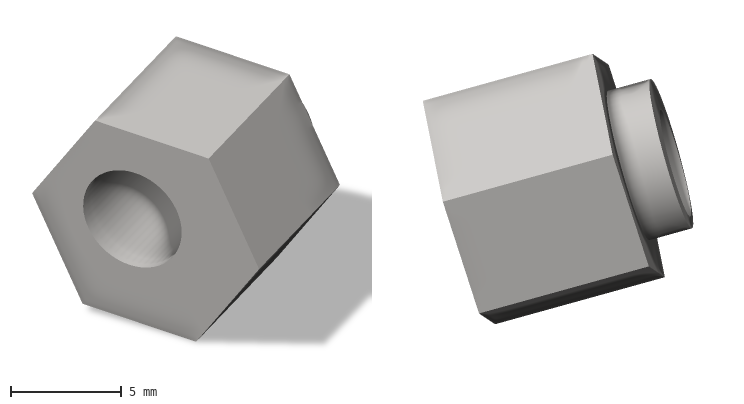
import cadquery as cq
import math

overall_width = 11.52
overall_length = 10.0
boss_length = 2.0
boss_diameter = 7.0
hole_diameter = 5.0
hole_offset_x = -0.67
hole_offset_z = 0.46
hexagon_tilt = 3.65

body_length = overall_length - boss_length
corner_diameter = overall_width / math.cos(math.radians(hexagon_tilt))


def section_plane(y):
    """Plane facing +Y whose local axes are global +Z and +X."""
    return cq.Workplane(cq.Plane(origin=(0, y, 0), xDir=(0, 0, 1), normal=(0, 1, 0)))


def make_body():
    """Hexagonal prism with its front face at Y = 0."""
    prism = cq.Workplane("XY").polygon(6, corner_diameter).extrude(body_length)
    lying = prism.rotate((0, 0, 0), (1, 0, 0), -90)
    return lying.rotate((0, 0, 0), (0, 1, 0), hexagon_tilt)


def make_boss():
    """Round boss on the rear face, concentric with the hexagon."""
    return section_plane(body_length).circle(boss_diameter / 2).extrude(boss_length)


def make_hole():
    """Eccentric through hole."""
    plane = section_plane(0).center(hole_offset_z, hole_offset_x)
    return plane.circle(hole_diameter / 2).extrude(overall_length)


result = make_body().union(make_boss()).cut(make_hole())